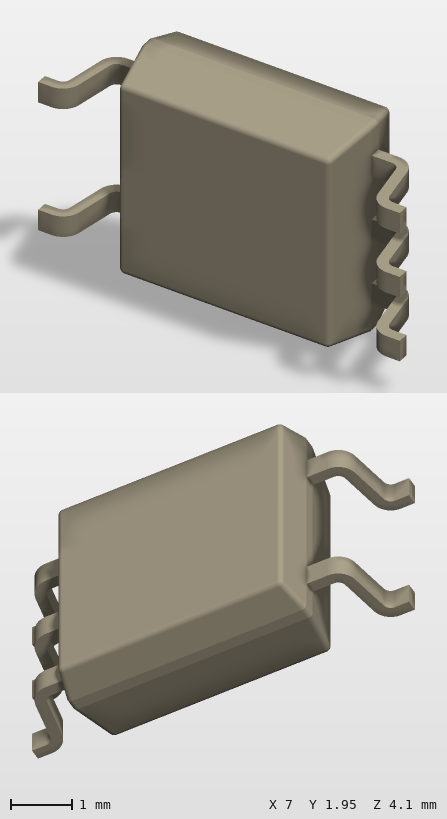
import cadquery as cq
import math

foot_span = 7.0
overall_height = 1.95
housing_width = 4.445
housing_length = 4.1
housing_standoff = 0.15

lead_thickness = 0.2
lead_width = 0.405
lead_pitch = 1.27
lead_top = 1.35
bend_inner_radius = 0.15
leg_tilt = math.radians(10)
foot_flat = 0.26

upper_inset = 0.15
lower_inset = 0.19
edge_radius = 0.1

lead_bottom = lead_top - lead_thickness
bend_outer_radius = bend_inner_radius + lead_thickness


def tapered_half(base_level, end_level, inset):
    """Solid narrowing evenly on all four sides from base_level to end_level along Y."""
    return (
        cq.Workplane("XZ", origin=(0, base_level, 0))
        .rect(housing_width, housing_length)
        .workplane(offset=base_level - end_level)
        .rect(housing_width - 2 * inset, housing_length - 2 * inset)
        .loft(ruled=True)
    )


def make_housing():
    """Block with a straight middle band, tapered above and below, with rounded edges."""
    band = cq.Workplane("XY").box(housing_width, lead_thickness, housing_length)
    band = band.translate((0, lead_top - lead_thickness / 2, 0))
    upper = tapered_half(lead_top, overall_height, upper_inset)
    lower = tapered_half(lead_bottom, housing_standoff, lower_inset)
    block = band.union(upper).union(lower)

    corner_edges = block.edges("not(#Y)")
    end_edges = block.faces("<Y or >Y").edges()
    return corner_edges.add(end_edges).fillet(edge_radius)


def make_lead(side, z_centre):
    """Gull-wing lead; side is +1 or -1 for the end of the X axis it points to."""
    tilt_sin = math.sin(leg_tilt)
    tilt_cos = math.cos(leg_tilt)
    full_turn = math.pi / 2 - leg_tilt
    half_turn = full_turn / 2

    foot_x = foot_span / 2 - foot_flat
    foot_y = bend_outer_radius
    shoulder_y = lead_top - bend_outer_radius
    bend_radii = bend_outer_radius + bend_inner_radius
    shoulder_x = foot_x - (bend_radii + (shoulder_y - foot_y) * tilt_sin) / tilt_cos

    def foot_point(radius, turn):
        return (foot_x - radius * math.sin(turn), foot_y - radius * math.cos(turn))

    def shoulder_point(radius, turn):
        return (shoulder_x + radius * math.sin(turn), shoulder_y + radius * math.cos(turn))

    profile = (
        cq.Workplane("XY", origin=(0, 0, z_centre - lead_width / 2))
        .moveTo(housing_width / 2, lead_top)
        .lineTo(shoulder_x, lead_top)
        .threePointArc(
            shoulder_point(bend_outer_radius, half_turn),
            shoulder_point(bend_outer_radius, full_turn),
        )
        .lineTo(*foot_point(bend_inner_radius, full_turn))
        .threePointArc(
            foot_point(bend_inner_radius, half_turn),
            foot_point(bend_inner_radius, 0),
        )
        .lineTo(foot_span / 2, lead_thickness)
        .lineTo(foot_span / 2, 0)
        .lineTo(foot_x, 0)
        .threePointArc(
            foot_point(bend_outer_radius, half_turn),
            foot_point(bend_outer_radius, full_turn),
        )
        .lineTo(*shoulder_point(bend_inner_radius, full_turn))
        .threePointArc(
            shoulder_point(bend_inner_radius, half_turn),
            shoulder_point(bend_inner_radius, 0),
        )
        .lineTo(housing_width / 2, lead_bottom)
        .close()
    )
    lead = profile.extrude(lead_width)
    if side < 0:
        lead = lead.mirror("YZ")
    return lead


housing = make_housing()

lead_rows = {-1: (-1, 1), 1: (-1, 0, 1)}
leads = []
for side, pitch_steps in lead_rows.items():
    for step in pitch_steps:
        leads.append(make_lead(side, step * lead_pitch).val())

result = cq.Compound.makeCompound([housing.val(), *leads])